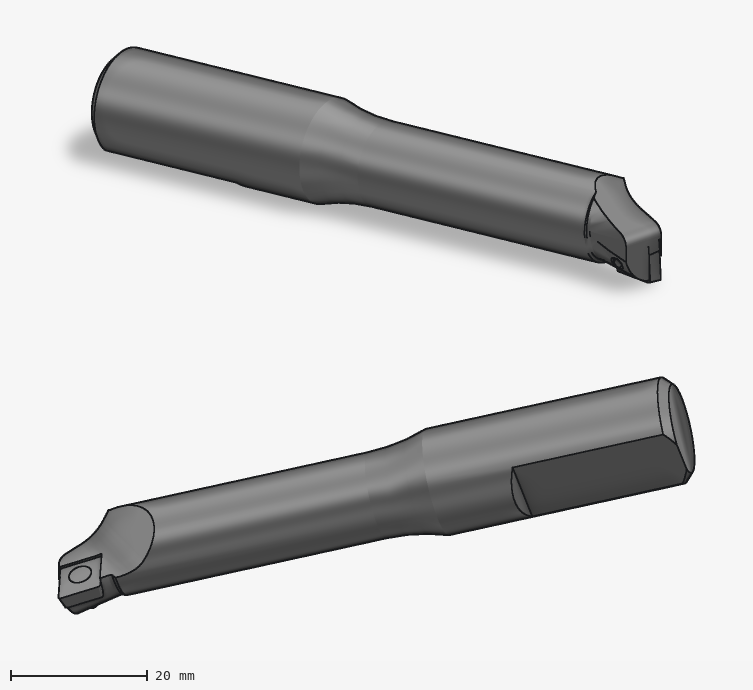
import cadquery as cq
import math


overall_length = 95.0
shank_radius = 8.0
shank_length = 37.2
end_chamfer = 1.3
neck_radius = 6.5
neck_start = 46.5
neck_end = 86.2

flat_depth = 1.8
flat_length = 24.3
flat_ramp_length = 1.1

collar_start = 86.7
head_start = 87.3
head_radius = 6.4
head_axis_z = 0.7
head_start_y = -0.4
head_end_y = -0.8
lower_end_radius = 6.8
lower_end_z = -0.5

slope_start = 84.55
slope_angle = 30.0
clearance_angle = 7.0
end_face_x = 94.7
end_fillet = 2.3

gullet_floor_y = 0.9
gullet_floor_start = 90.0
gullet_radius = 6.8
gullet_wall_angle = 41.0

insert_edge = 6.5
insert_thickness = 2.4
insert_rake_y = 0.5
insert_corner_angle = 80.0
insert_lead_angle = 3.0
insert_corner_radius = 0.4
insert_tip_z = -7.9
half_corner = math.radians(insert_corner_angle / 2)
nose_direction = math.radians(90 - insert_lead_angle) - half_corner
insert_tip_x = overall_length + insert_corner_radius * (math.cos(nose_direction) / math.sin(half_corner) - 1)

screw_radius = 1.0
screw_head_radius = 1.7
screw_head_height = 1.1
screw_end_y = -5.9
screw_end_chamfer = 0.4
screw_x = 91.7
screw_z = -3.6

cutter_size = 38.0


def turned_body():
    """Shank with chamfered end, flared blend and neck, turned about the X axis."""
    flare_length = neck_start - shank_length
    flare_rise = shank_radius - neck_radius
    flare_radius = (flare_length**2 + flare_rise**2) / (2 * flare_rise)
    mid_angle = math.asin(flare_length / flare_radius) / 2
    flare_mid_x = neck_start - flare_radius * math.sin(mid_angle)
    flare_mid_r = neck_radius + flare_radius * (1 - math.cos(mid_angle))
    return (
        cq.Workplane("XZ")
        .lineTo(0, shank_radius - end_chamfer)
        .lineTo(end_chamfer, shank_radius)
        .lineTo(shank_length, shank_radius)
        .threePointArc((flare_mid_x, flare_mid_r), (neck_start, neck_radius))
        .lineTo(neck_end, neck_radius)
        .lineTo(neck_end, 0)
        .close()
        .revolve(360, (0, 0, 0), (1, 0, 0))
    )


def clamping_flat():
    """Material below the shank flat, ending in a steep ramp."""
    flat_z = flat_depth - shank_radius
    return (
        cq.Workplane("XZ")
        .moveTo(0, flat_z)
        .lineTo(flat_length, flat_z)
        .lineTo(flat_length + flat_ramp_length, -shank_radius)
        .lineTo(0, -shank_radius)
        .close()
        .extrude(shank_radius, both=True)
    )


def lofted_round(start, end):
    """Body between two circles square to X, each given as its X, Y and Z centre and radius."""
    start_x, start_y, start_z, start_radius = start
    end_x, end_y, end_z, end_radius = end
    return (
        cq.Workplane("YZ", origin=(start_x, start_y, start_z))
        .circle(start_radius)
        .workplane(offset=end_x - start_x)
        .center(end_y - start_y, end_z - start_z)
        .circle(end_radius)
        .loft()
    )


def head_lower_space():
    """Space below the head axis and between the two side walls of the head."""
    return (
        cq.Workplane("XY", origin=(0, 0, head_axis_z - cutter_size))
        .moveTo(head_start, head_start_y - head_radius)
        .lineTo(overall_length, head_end_y - head_radius)
        .lineTo(overall_length, head_end_y + head_radius)
        .lineTo(head_start, head_start_y + head_radius)
        .close()
        .extrude(cutter_size)
    )


def head_blank():
    """Blend from the neck, collar, upper head and widening lower head."""
    neck_circle = (neck_end, 0, 0, neck_radius)
    collar_circle = (collar_start, head_start_y, head_axis_z, head_radius)
    head_circle = (head_start, head_start_y, head_axis_z, head_radius)
    upper_end_circle = (overall_length, head_end_y, head_axis_z, head_radius)
    lower_end_circle = (overall_length, head_end_y, lower_end_z, lower_end_radius)
    blend = lofted_round(neck_circle, collar_circle)
    collar = lofted_round(collar_circle, head_circle)
    upper_head = lofted_round(head_circle, upper_end_circle)
    lower_head = lofted_round(head_circle, lower_end_circle).intersect(head_lower_space())
    return blend.union(collar).union(upper_head.union(lower_head))


def head_envelope():
    """Space left below the slope and behind the end face, with a rounded edge between them."""
    clearance = math.tan(math.radians(clearance_angle))
    slope = math.tan(math.radians(slope_angle))
    behind_end_face = (
        cq.Workplane("XY", origin=(0, 0, -cutter_size / 2))
        .moveTo(0, -cutter_size / 2)
        .lineTo(end_face_x - clearance * cutter_size / 2, -cutter_size / 2)
        .lineTo(end_face_x + clearance * cutter_size / 2, cutter_size / 2)
        .lineTo(0, cutter_size / 2)
        .close()
        .extrude(cutter_size)
    )
    above_slope = (
        cq.Workplane("XZ")
        .moveTo(slope_start - cutter_size, neck_radius + cutter_size * slope)
        .lineTo(slope_start + cutter_size, neck_radius - cutter_size * slope)
        .lineTo(slope_start + cutter_size, neck_radius + cutter_size * slope)
        .close()
        .extrude(cutter_size, both=True)
    )
    envelope = behind_end_face.cut(above_slope)
    return envelope.faces(">X").edges(">Z").fillet(end_fillet)


def gullet():
    """Chip gullet milled square to the slope: a flat floor curving up into a sloping wall."""
    tilt = math.radians(slope_angle)
    plane = cq.Plane(
        origin=(gullet_floor_start, gullet_floor_y, 0),
        xDir=(math.cos(tilt), 0, -math.sin(tilt)),
        normal=(math.sin(tilt), 0, math.cos(tilt)),
    )
    wall = math.radians(gullet_wall_angle)
    arc_mid = (-gullet_radius * math.sin(wall / 2), gullet_radius * (1 - math.cos(wall / 2)))
    arc_end = (-gullet_radius * math.sin(wall), gullet_radius * (1 - math.cos(wall)))
    wall_top = (arc_end[0] - cutter_size * math.cos(wall), arc_end[1] + cutter_size * math.sin(wall))
    return (
        cq.Workplane(plane)
        .threePointArc(arc_mid, arc_end)
        .lineTo(*wall_top)
        .lineTo(cutter_size, wall_top[1])
        .lineTo(cutter_size, 0)
        .close()
        .extrude(cutter_size, both=True)
    )


def insert_corners():
    """Corners of the insert in X and Z, starting at the cutting tip."""
    end_direction = math.radians(90 + insert_lead_angle)
    side_direction = end_direction + math.radians(insert_corner_angle)
    end_x = insert_edge * math.cos(end_direction)
    end_z = insert_edge * math.sin(end_direction)
    side_x = insert_edge * math.cos(side_direction)
    side_z = insert_edge * math.sin(side_direction)
    return [
        (insert_tip_x, insert_tip_z),
        (insert_tip_x + end_x, insert_tip_z + end_z),
        (insert_tip_x + end_x + side_x, insert_tip_z + end_z + side_z),
        (insert_tip_x + side_x, insert_tip_z + side_z),
    ]


def insert_blank():
    """Solid insert, narrowing by the clearance angle towards -Y."""
    return (
        cq.Workplane("XZ", origin=(0, insert_rake_y, 0))
        .polyline(insert_corners())
        .close()
        .extrude(insert_thickness, taper=clearance_angle)
        .edges("not #Y")
        .fillet(insert_corner_radius)
    )


def insert_pocket():
    """Seat of the insert, open through the gullet floor."""
    opening = (
        cq.Workplane("XZ", origin=(0, cutter_size, 0))
        .polyline(insert_corners())
        .close()
        .extrude(cutter_size - insert_rake_y)
    )
    return insert_blank().union(opening)


def make_screw():
    """Countersunk screw along Y, through the middle of the insert."""
    return (
        cq.Workplane("XY", origin=(screw_x, 0, screw_z))
        .moveTo(0, insert_rake_y)
        .lineTo(screw_head_radius, insert_rake_y)
        .lineTo(screw_radius, insert_rake_y - screw_head_height)
        .lineTo(screw_radius, screw_end_y + screw_end_chamfer)
        .lineTo(screw_radius - screw_end_chamfer, screw_end_y)
        .lineTo(0, screw_end_y)
        .close()
        .revolve(360, (0, 0, 0), (0, 1, 0))
    )


def screw_hole():
    """Hole for the screw, running out through the -Y side of the head."""
    return (
        cq.Workplane("XZ", origin=(screw_x, 0, screw_z))
        .circle(screw_radius)
        .extrude(cutter_size)
    )


def make_bar():
    bar = turned_body().cut(clamping_flat())
    bar = bar.union(head_blank())
    bar = bar.intersect(head_envelope()).cut(gullet())
    return bar.cut(insert_pocket()).cut(screw_hole())


bar = make_bar()
screw = make_screw()
insert = insert_blank().cut(screw)

result = cq.Compound.makeCompound([bar.val(), insert.val(), screw.val()])